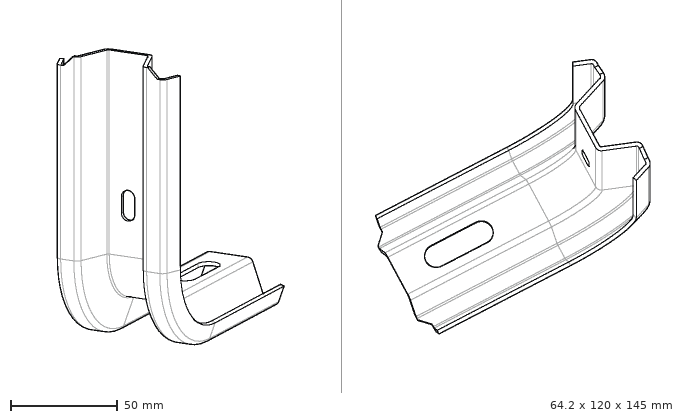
import math

import cadquery as cq

thickness = 2.0
inside_radius = 1.0
outside_radius = inside_radius + thickness
wall_angle = math.radians(20.0)

section_depth = 20.0
web_flat_half_width = 10.0
flange_flat_width = 7.0
overall_width = 64.19

elbow_outer_radius = 45.0
overall_length = 120.0
overall_height = 145.0

notch_depth = 5.0
notch_inner_half_width = 20.0

upright_slot_width = 7.0
upright_slot_length = 15.0
upright_slot_height = 70.0
base_slot_width = 11.0
base_slot_length = 35.0
base_slot_end_gap = 15.0


def half_profile():
    """Return the sharp corners of the +X half as two skins, each running from web to lip.

    Depth is measured from the flange face (0) to the web face (section_depth).
    """
    slope = math.tan(wall_angle)
    setback = outside_radius * math.tan((math.pi / 2 - wall_angle) / 2)
    sheet_across_wall = thickness / math.cos(wall_angle)

    web_corner = web_flat_half_width + setback
    wall_foot = web_corner + section_depth * slope
    flange_corner = wall_foot - sheet_across_wall
    lip_corner = flange_corner + flange_flat_width + 2 * setback
    lip_tip = overall_width / 2
    lip_height = (lip_tip - lip_corner) / slope

    upper_skin = [
        (web_corner, section_depth),
        (wall_foot - thickness * slope, thickness),
        (lip_corner + thickness * slope - sheet_across_wall, thickness),
        (lip_tip - thickness * math.cos(wall_angle), lip_height + thickness * math.sin(wall_angle)),
    ]
    lower_skin = [
        (web_corner + thickness * slope - sheet_across_wall, section_depth - thickness),
        (flange_corner, 0.0),
        (lip_corner, 0.0),
        (lip_tip, lip_height),
    ]
    return upper_skin, lower_skin


def mirrored(points):
    return [(-x, depth) for x, depth in points]


def round_corners(face, corners, radius):
    """Fillet the vertices of the face that lie on the given corners."""
    tolerance = 1e-4
    chosen = []
    for vertex in face.Vertices():
        if any(math.dist((vertex.X, vertex.Y), corner) < tolerance for corner in corners):
            chosen.append(vertex)
    return face.fillet2D(radius, chosen)


def make_section():
    """Build the bent-sheet cross-section at the top of the upright leg."""
    upper, lower = half_profile()
    outline = mirrored(upper)[::-1] + upper + lower[::-1] + mirrored(lower)
    points = [cq.Vector(x, depth, overall_height) for x, depth in outline]
    face = cq.Face.makeFromWires(cq.Wire.makePolygon(points, close=True))

    outside = [upper[0], lower[1], lower[2]]
    inside = [lower[0], upper[1], upper[2]]
    face = round_corners(face, outside + mirrored(outside), outside_radius)
    return round_corners(face, inside + mirrored(inside), inside_radius)


def make_channel():
    """Sweep the section down the upright leg, round the elbow and along the base leg."""
    elbow_midpoint = elbow_outer_radius * (1 - math.sqrt(0.5))
    path = (
        cq.Workplane("YZ")
        .moveTo(0, overall_height)
        .lineTo(0, elbow_outer_radius)
        .threePointArc((elbow_midpoint, elbow_midpoint), (elbow_outer_radius, 0))
        .lineTo(overall_length, 0)
    )
    section_wire = make_section().outerWire()
    return cq.Workplane("XY").newObject([section_wire]).toPending().sweep(path)


def notch_outline(plane, leg_end, side):
    """Outline the waste at one side of a leg end: a 45 degree ramp, then a straight step."""
    past_side = overall_width
    floor = leg_end - notch_depth
    return (
        cq.Workplane(plane)
        .moveTo(side * notch_inner_half_width, leg_end)
        .lineTo(side * (notch_inner_half_width + notch_depth), floor)
        .lineTo(side * past_side, floor)
        .lineTo(side * past_side, leg_end)
        .close()
    )


def notch_leg_ends(channel):
    for side in (-1, 1):
        upright_waste = notch_outline("XZ", overall_height, side).extrude(-section_depth)
        base_waste = notch_outline("XY", overall_length, side).extrude(section_depth)
        channel = channel.cut(upright_waste).cut(base_waste)
    return channel


def cut_web_slots(channel):
    upright_slot = (
        cq.Workplane("XZ")
        .center(0, upright_slot_height)
        .slot2D(upright_slot_length, upright_slot_width, 90)
        .extrude(-section_depth)
    )
    base_slot_centre = overall_length - base_slot_end_gap - base_slot_length / 2
    base_slot = (
        cq.Workplane("XY")
        .center(0, base_slot_centre)
        .slot2D(base_slot_length, base_slot_width, 90)
        .extrude(section_depth)
    )
    return channel.cut(upright_slot).cut(base_slot)


result = cut_web_slots(notch_leg_ends(make_channel()))